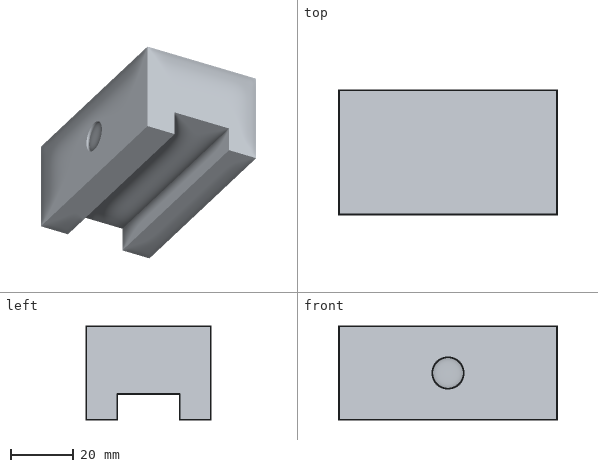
import cadquery as cq

length = 70.0
width = 40.0
height = 30.0

slot_width = 20.0
slot_depth = 8.2

recess_diameter = 10.1
recess_depth = 1.0


def make_block():
    """Block centred on X and Y, standing on Z = 0."""
    return cq.Workplane("XY").box(length, width, height, centered=(True, True, False))


def make_slot():
    """Volume of the full-length slot."""
    return cq.Workplane("XY").box(length, slot_width, slot_depth, centered=(True, True, False))


def make_recess():
    """Round pocket volume, running inward from the -Y side."""
    return (
        cq.Workplane("XZ", origin=(0, -width / 2, height / 2))
        .circle(recess_diameter / 2)
        .extrude(-recess_depth)
    )


result = make_block().cut(make_slot()).cut(make_recess())